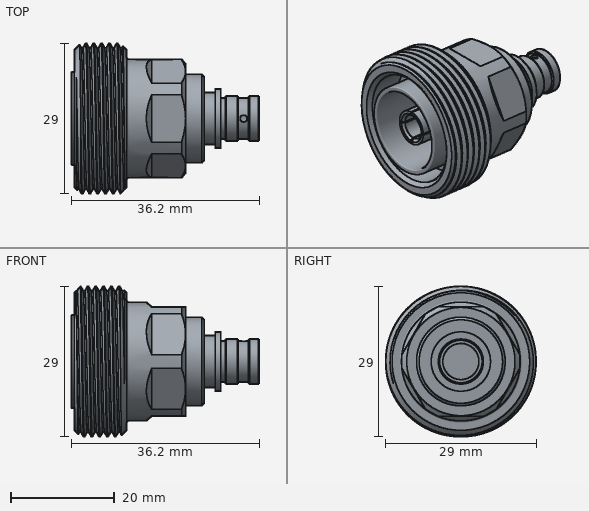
import cadquery as cq
import math

AXIS_START = (0, 0, 0)
AXIS_END = (1, 0, 0)
length = 36.2

thread_start = 0.58
thread_end = 10.65
crest_diameter = 29.0
crest_radius = crest_diameter / 2
root_radius = 13.65
thread_end_radius = 13.25
counted_turns = 5
counted_turns_length = 7.5
pitch = counted_turns_length / counted_turns
crest_flat = 0.18
flank_angle = 30.0
tooth_sink = 0.1
helix_start = -0.55
helix_turns = 8

body_radius = 11.45
body_fillet = 0.4
body_end = 22.05
body_end_radius = 10.42
body_chamfer_length = 0.85
flat_distance = 10.5
flat_count = 6
flat_start = 15.5
flat_slope_length = 1.05

collar_radius = 8.55
collar_end = 25.6
collar_chamfer = 0.5
neck_radius = 5.03
flange_start = 27.7
flange_end = 28.77
flange_radius = 5.7

tail_radius = 3.98
ring_radius = 4.35
ring_1_start = 29.6
ring_1_end = 32.15
ring_2_start = 34.1
ring_chamfer = 0.25
tail_bore_radius = 3.47
tail_bore_start = flange_end
vent_x = 33.15
vent_diameter = 1.35

recess_radius = 10.95
recess_chamfer = 0.8
recess_floor = 7.75

sleeve_radius = 8.98
sleeve_bore_radius = 8.0
sleeve_rim_fillet = 0.2
sleeve_floor = 14.48
sleeve_floor_radius = 6.85

contact_tip = 1.8
contact_radius = 3.47
contact_bore_radius = 2.42
contact_bore_chamfer = 0.5
contact_bore_floor = 11.95
slot_width = 0.3
slot_floor = 10.85


def turn(points):
    """Solid of revolution about X from an outline of (x, radius) points."""
    return cq.Workplane("XZ").polyline(points).close().revolve(360, AXIS_START, AXIS_END)


def make_threaded_collar():
    core = turn([
        (thread_start, 0),
        (thread_start, root_radius),
        (thread_end, root_radius),
        (thread_end, 0),
    ])
    base_radius = root_radius - tooth_sink
    half_crest = crest_flat / 2
    half_base = half_crest + (crest_radius - base_radius) * math.tan(math.radians(flank_angle))
    helix = cq.Wire.makeHelix(pitch, pitch * helix_turns, base_radius)
    tooth = (
        cq.Workplane("XZ")
        .polyline([
            (base_radius, -half_base),
            (crest_radius, -half_crest),
            (crest_radius, half_crest),
            (base_radius, half_base),
        ])
        .close()
        .sweep(cq.Workplane(helix), isFrenet=True)
        .rotate((0, 0, 0), (0, 1, 0), 90)
        .translate((helix_start, 0, 0))
    )
    trim_radius = crest_radius + crest_flat
    trim_chamfer = trim_radius - thread_end_radius
    outline = turn([
        (thread_start, 0),
        (thread_start, thread_end_radius),
        (thread_start + trim_chamfer, trim_radius),
        (thread_end - trim_chamfer, trim_radius),
        (thread_end, thread_end_radius),
        (thread_end, 0),
    ])
    return core.union(tooth).intersect(outline)


def make_body():
    fillet_end = thread_end + body_fillet
    fillet_mid = body_fillet * (1 - math.sqrt(0.5))
    body = (
        cq.Workplane("XZ")
        .moveTo(recess_floor, 0)
        .lineTo(recess_floor, body_radius + body_fillet)
        .lineTo(thread_end, body_radius + body_fillet)
        .threePointArc(
            (thread_end + fillet_mid, body_radius + fillet_mid),
            (fillet_end, body_radius),
        )
        .lineTo(body_end - body_chamfer_length, body_radius)
        .lineTo(body_end, body_end_radius)
        .lineTo(body_end, 0)
        .close()
        .revolve(360, AXIS_START, AXIS_END)
    )
    ramp_rise = body_radius - flat_distance
    cutter = (
        cq.Workplane("XZ")
        .polyline([
            (flat_start, flat_distance),
            (flat_start - 2 * flat_slope_length, flat_distance + 2 * ramp_rise),
            (body_end, flat_distance + 2 * ramp_rise),
            (body_end, flat_distance),
        ])
        .close()
        .extrude(body_radius, both=True)
    )
    for index in range(flat_count):
        body = body.cut(cutter.rotate(AXIS_START, AXIS_END, index * 360 / flat_count))
    return body


def make_ring(start, end):
    """Raised tail ring with both outer edges chamfered."""
    return turn([
        (start, 0),
        (start, ring_radius - ring_chamfer),
        (start + ring_chamfer, ring_radius),
        (end - ring_chamfer, ring_radius),
        (end, ring_radius - ring_chamfer),
        (end, 0),
    ])


def make_neck_and_tail():
    neck = turn([
        (body_end, 0),
        (body_end, collar_radius),
        (collar_end - collar_chamfer, collar_radius),
        (collar_end, collar_radius - collar_chamfer),
        (collar_end, neck_radius),
        (flange_start, neck_radius),
        (flange_start, flange_radius),
        (flange_end, flange_radius),
        (flange_end, tail_radius),
        (length, tail_radius),
        (length, 0),
    ])
    rings = make_ring(ring_1_start, ring_1_end).union(make_ring(ring_2_start, length))
    bore = (
        cq.Workplane("YZ", origin=(tail_bore_start, 0, 0))
        .circle(tail_bore_radius)
        .extrude(length - tail_bore_start)
    )
    vent = cq.Workplane("XY").center(vent_x, 0).circle(vent_diameter / 2).extrude(ring_radius)
    return neck.union(rings).cut(bore).cut(vent)


def make_front_recess():
    """Space ahead of the recess floor, wide at its chamfered mouth."""
    return turn([
        (thread_start, 0),
        (thread_start, recess_radius + recess_chamfer),
        (thread_start + recess_chamfer, recess_radius),
        (recess_floor, recess_radius),
        (recess_floor, 0),
    ])


def make_sleeve_blank():
    """Inner sleeve as a solid plug with a rounded outer rim, standing on the recess floor."""
    return (
        cq.Workplane("YZ")
        .circle(sleeve_radius)
        .extrude(recess_floor)
        .faces("<X")
        .edges()
        .fillet(sleeve_rim_fillet)
    )


def make_sleeve_bore():
    """Bore of the sleeve, flared by the rounded inner rim and ending in a 45 degree cone."""
    cone_length = sleeve_bore_radius - sleeve_floor_radius
    rim_mid = sleeve_rim_fillet * (1 - math.sqrt(0.5))
    return (
        cq.Workplane("XZ")
        .moveTo(0, 0)
        .lineTo(0, sleeve_bore_radius + sleeve_rim_fillet)
        .threePointArc(
            (rim_mid, sleeve_bore_radius + rim_mid),
            (sleeve_rim_fillet, sleeve_bore_radius),
        )
        .lineTo(sleeve_floor - cone_length, sleeve_bore_radius)
        .lineTo(sleeve_floor, sleeve_floor_radius)
        .lineTo(sleeve_floor, 0)
        .close()
        .revolve(360, AXIS_START, AXIS_END)
    )


def make_contact():
    tube = turn([
        (contact_tip, contact_bore_radius + contact_bore_chamfer),
        (contact_tip, contact_radius),
        (sleeve_floor, contact_radius),
        (sleeve_floor, 0),
        (contact_bore_floor, 0),
        (contact_bore_floor, contact_bore_radius),
        (contact_tip + contact_bore_chamfer, contact_bore_radius),
    ])
    slot_length = slot_floor - contact_tip
    slot = cq.Workplane("XY").box(
        slot_length, 2 * contact_radius, slot_width, centered=(False, True, True)
    ).translate((contact_tip, 0, 0))
    for angle in (0, 90):
        tube = tube.cut(slot.rotate(AXIS_START, AXIS_END, angle))
    return tube


result = (
    make_threaded_collar()
    .union(make_body())
    .union(make_neck_and_tail())
    .cut(make_front_recess())
    .union(make_sleeve_blank())
    .cut(make_sleeve_bore())
    .union(make_contact())
)